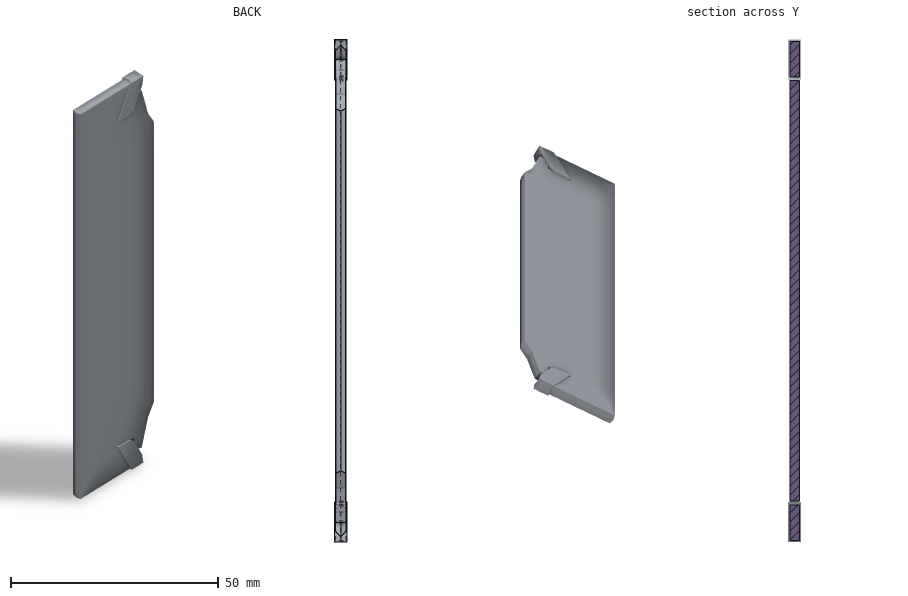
import cadquery as cq
import math


BLADE_WIDTH = 25.26
BLADE_THICKNESS = 2.5
BLADE_HALF_LENGTH = 60.25
BEVEL_DEPTH = 0.33
FRONT_HALF_LENGTH = 43.4
SHOULDER_Y = 23.05
SHOULDER_Z = 47.5
NOSE_Y = 20.9
NOSE_Z = 55.9
NOSE_ROOT_Z = 55.0

INSERT_THICKNESS = 3.1
INSERT_TOP = 121.27 / 2
INSERT_LEAN = math.radians(24.8)
INSERT_SPAN = 4.82
HEEL_Y = 12.73
HEEL_Z = 50.95
TIP_Y = 21.15
FLANK_END_Z = 58.0
FOOT_Z = 52.4
TOE_Y = 16.85
TOE_Z = 51.1
CHIP_GROOVE_START = 0.4
CHIP_GROOVE_END = 1.1
CHIP_GROOVE_DEPTH = 0.12

RIDGE_HEIGHT = 0.45
JAW_ROOT_Y = 18.65
SEAT_FLOOR_Z = 51.5
RELIEF_RADIUS = 0.5
RELIEF_Y = 12.95
RELIEF_Z = 51.2
CUT_MARGIN = 5.0


def back_side_y(z):
    """Y of the insert's leaning back side at height z."""
    return HEEL_Y + (z - HEEL_Z) * math.tan(INSERT_LEAN)


def front_side_y(z):
    """Y of the insert's leaning front side at height z."""
    return back_side_y(z) + INSERT_SPAN


def slot_middle_y(z):
    """Y halfway between the leaning sides at height z."""
    return back_side_y(z) + INSERT_SPAN / 2


def prism(sketch, thickness):
    """Extrude a YZ sketch to both sides of the middle plane."""
    return sketch.close().extrude(thickness / 2, both=True)


def locating_ridge(side_y, direction, bottom_z):
    """V ridge along a leaning side; direction is the sense along Y in which it points."""
    half = BLADE_THICKNESS / 2
    top_z = INSERT_TOP + CUT_MARGIN
    base_y = side_y(bottom_z)
    return (
        cq.Workplane("XY")
        .workplane(offset=bottom_z)
        .polyline([(-half, base_y), (0, base_y + direction * RIDGE_HEIGHT), (half, base_y)])
        .close()
        .sweep(cq.Workplane("YZ").moveTo(base_y, bottom_z).lineTo(side_y(top_z), top_z))
    )


def make_insert():
    """Insert for the +Z end, grooved along both leaning sides."""
    groove_start = TIP_Y - CHIP_GROOVE_START
    groove_end = TIP_Y - CHIP_GROOVE_END
    groove_middle = (groove_start + groove_end) / 2
    outline = (
        cq.Workplane("YZ")
        .moveTo(HEEL_Y, HEEL_Z)
        .lineTo(back_side_y(INSERT_TOP), INSERT_TOP)
        .lineTo(groove_end, INSERT_TOP)
        .threePointArc((groove_middle, INSERT_TOP - CHIP_GROOVE_DEPTH), (groove_start, INSERT_TOP))
        .lineTo(TIP_Y, INSERT_TOP)
        .lineTo(front_side_y(FLANK_END_Z), FLANK_END_Z)
        .lineTo(front_side_y(FOOT_Z), FOOT_Z)
        .lineTo(TOE_Y, TOE_Z)
    )
    back_ridge = locating_ridge(back_side_y, 1, HEEL_Z - CUT_MARGIN)
    jaw_ridge = locating_ridge(front_side_y, -1, HEEL_Z - CUT_MARGIN)
    return prism(outline, INSERT_THICKNESS).cut(back_ridge).cut(jaw_ridge)


def make_seat():
    """Cutter for the +Z seat: slot between jaw and back wall, with the locating ridges left standing."""
    top_z = INSERT_TOP + CUT_MARGIN
    jaw_root_z = HEEL_Z + (JAW_ROOT_Y - HEEL_Y - INSERT_SPAN) / math.tan(INSERT_LEAN)
    slot = prism(
        cq.Workplane("YZ")
        .moveTo(HEEL_Y, HEEL_Z)
        .lineTo(back_side_y(top_z), top_z)
        .lineTo(front_side_y(top_z), top_z)
        .lineTo(JAW_ROOT_Y, jaw_root_z)
        .lineTo(JAW_ROOT_Y, SEAT_FLOOR_Z)
        .lineTo(TOE_Y, TOE_Z),
        INSERT_THICKNESS,
    )
    relief = (
        cq.Workplane("YZ")
        .center(RELIEF_Y, RELIEF_Z)
        .circle(RELIEF_RADIUS)
        .extrude(INSERT_THICKNESS / 2, both=True)
    )
    back_ridge = locating_ridge(back_side_y, 1, HEEL_Z - CUT_MARGIN)
    jaw_ridge = locating_ridge(front_side_y, -1, jaw_root_z)
    return slot.cut(back_ridge).cut(jaw_ridge).union(relief)


def make_blade(seats):
    """Bar with V edges, trimmed to the sloped outline and cut by the seats."""
    half = BLADE_THICKNESS / 2
    bar = (
        cq.Workplane("XY")
        .workplane(offset=-BLADE_HALF_LENGTH)
        .polyline([
            (0, 0),
            (half, BEVEL_DEPTH),
            (half, BLADE_WIDTH - BEVEL_DEPTH),
            (0, BLADE_WIDTH),
            (-half, BLADE_WIDTH - BEVEL_DEPTH),
            (-half, BEVEL_DEPTH),
        ])
        .close()
        .extrude(2 * BLADE_HALF_LENGTH)
    )
    upper_points = [
        (BLADE_WIDTH, FRONT_HALF_LENGTH),
        (SHOULDER_Y, SHOULDER_Z),
        (NOSE_Y, NOSE_Z),
        (slot_middle_y(NOSE_ROOT_Z), NOSE_ROOT_Z),
        (slot_middle_y(BLADE_HALF_LENGTH), BLADE_HALF_LENGTH),
        (0, BLADE_HALF_LENGTH),
    ]
    lower_points = [(y, -z) for y, z in reversed(upper_points)]
    outline = cq.Workplane("YZ").polyline(upper_points + lower_points)
    blade = bar.intersect(prism(outline, BLADE_THICKNESS))
    for seat in seats:
        blade = blade.cut(seat)
    return blade


def both_ends(part):
    """The +Z part and its mirror image at the -Z end."""
    return [part, part.mirror("XY")]


insert_solids = [insert.solids().val() for insert in both_ends(make_insert())]
blade = make_blade(both_ends(make_seat()))
result = cq.Compound.makeCompound([*blade.solids().vals(), *insert_solids])